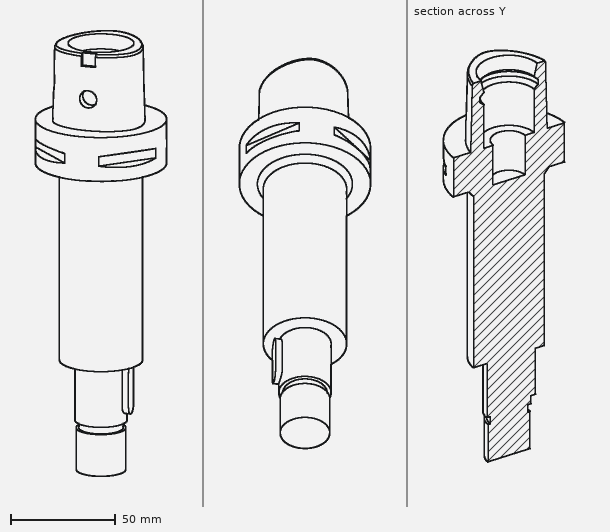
import cadquery as cq
import math

shank_length = 38.0
flange_thickness = 22.0
collar_length = 3.2
body_bottom = -120.3
groove_top = -150.4
groove_bottom = -154.2
overall_length = 213
bottom = shank_length - overall_length

flange_radius = 31.5
collar_radius = 22.8
body_radius = 20.0
spigot_radius = 12.5
groove_radius = 10.6
tip_radius = 12.0

lobe_mean_radius = 22.2
lobe_height = 1.3
shank_taper = 1 / 40
shank_chamfer_height = 1.3
shank_chamfer_inset = 0.6

mouth_radius = 15.8
bore_radius = 14.0
mouth_depth = 7.0
undercut_radius = 16.5
undercut_end_depth = 12.0
undercut_lip_depth = 13.8
bore_depth = shank_length
center_hole_radius = 9.0
center_hole_depth = bore_depth + flange_thickness

notch_width = 7.0
notch_depth = 6.2
notch_back_radius = 18.3
side_hole_radius = 4.3
side_hole_height = 15.5
side_hole_floor = 15.3

slot_count = 4
slot_start_angle = 45
slot_floor_distance = 27.5
slot_floor_width = 4.7
slot_mouth_width = 7.0
slot_height = -12.0

key_width = 8.0
key_length = 25.5
key_top_radius = 15.1
key_root = 8.5


def lobed_wire(height, inset):
    """Three-lobed closed curve, offset inward, with one lobe toward +Y."""
    def point(t):
        angle = 2 * math.pi * t
        phase = 3 * (angle - math.pi / 2)
        support = lobe_mean_radius - inset + lobe_height * math.cos(phase)
        slope = -3 * lobe_height * math.sin(phase)
        x = support * math.cos(angle) - slope * math.sin(angle)
        y = support * math.sin(angle) + slope * math.cos(angle)
        return cq.Vector(x, y, height)

    samples = 48
    points = [point(i / samples) for i in range(samples)]
    return cq.Wire.assembleEdges([cq.Edge.makeSpline(points, periodic=True)])


def make_shank():
    chamfer_start = shank_length - shank_chamfer_height
    upper_inset = chamfer_start * shank_taper
    base = lobed_wire(0, 0)
    shoulder = lobed_wire(chamfer_start, upper_inset)
    end = lobed_wire(shank_length, upper_inset + shank_chamfer_inset)
    taper = cq.Solid.makeLoft([base, shoulder], True)
    chamfer = cq.Solid.makeLoft([shoulder, end], True)
    return cq.Workplane(taper).union(cq.Workplane(chamfer))


def revolve_profile(points):
    return cq.Workplane("XZ").polyline(points).close().revolve(360, (0, 0, 0), (0, 1, 0))


def make_turned_body():
    collar_bottom = -flange_thickness - collar_length
    return revolve_profile([
        (0, 0),
        (flange_radius, 0),
        (flange_radius, -flange_thickness),
        (collar_radius, -flange_thickness),
        (body_radius, collar_bottom),
        (body_radius, body_bottom),
        (spigot_radius, body_bottom),
        (spigot_radius, groove_top),
        (groove_radius, groove_top),
        (groove_radius, groove_bottom),
        (tip_radius, groove_bottom),
        (tip_radius, bottom),
        (0, bottom),
    ])


def make_bore():
    undercut_slope = undercut_radius - bore_radius
    return revolve_profile([
        (0, shank_length),
        (mouth_radius, shank_length),
        (bore_radius, shank_length - mouth_depth),
        (undercut_radius, shank_length - mouth_depth - undercut_slope),
        (undercut_radius, shank_length - undercut_end_depth),
        (bore_radius, shank_length - undercut_lip_depth),
        (bore_radius, shank_length - bore_depth),
        (center_hole_radius, shank_length - bore_depth),
        (center_hole_radius, shank_length - center_hole_depth),
        (0, shank_length - center_hole_depth),
    ])


def make_notch():
    """Open notch at the shank end with a back wall concentric with the axis."""
    floor_height = shank_length - notch_depth
    block = (
        cq.Workplane("XY")
        .box(notch_width, flange_radius, notch_depth, centered=(True, False, False))
        .translate((0, -flange_radius, floor_height))
    )
    core = (
        cq.Workplane("XY", origin=(0, 0, floor_height))
        .circle(notch_back_radius)
        .extrude(notch_depth)
    )
    return block.cut(core)


def make_side_hole():
    return (
        cq.Workplane("XZ", origin=(0, -side_hole_floor, side_hole_height))
        .circle(side_hole_radius)
        .extrude(flange_radius - side_hole_floor)
    )


def make_slot(angle):
    """Straight slot whose walls flare outward to the flange rim."""
    floor = slot_floor_width / 2
    mouth = slot_mouth_width / 2
    return (
        cq.Workplane("XZ")
        .polyline([
            (slot_floor_distance, slot_height - floor),
            (flange_radius, slot_height - mouth),
            (flange_radius, slot_height + mouth),
            (slot_floor_distance, slot_height + floor),
        ])
        .close()
        .extrude(flange_radius, both=True)
        .rotate((0, 0, 0), (0, 0, 1), angle)
    )


def make_key():
    center_height = body_bottom - key_length / 2
    return (
        cq.Workplane("YZ", origin=(key_root, 0, center_height))
        .slot2D(key_length, key_width, 90)
        .extrude(key_top_radius - key_root)
    )


result = make_turned_body().union(make_shank()).union(make_key())
result = result.cut(make_bore()).cut(make_notch()).cut(make_side_hole())
for i in range(slot_count):
    result = result.cut(make_slot(slot_start_angle + i * 360 / slot_count))